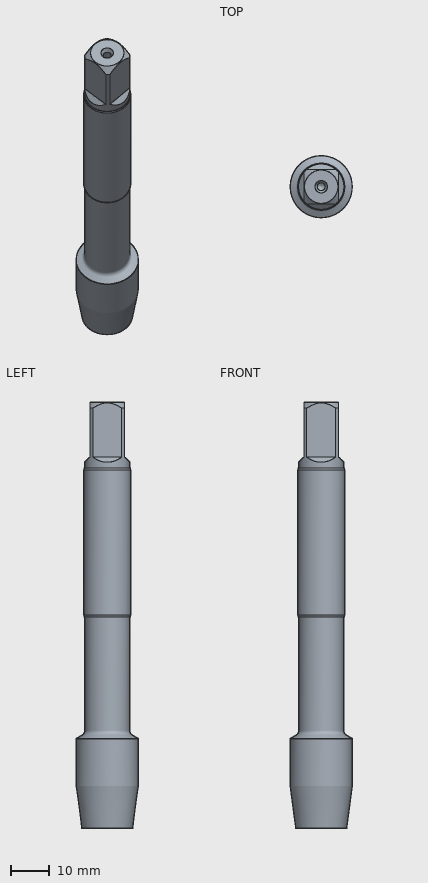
import cadquery as cq
import math

total_length = 110.0

head_diameter = 16.06
tip_diameter = 13.2
lead_length = 10.8
head_length = 23.0

neck_diameter = 11.7
shank_diameter = 12.19
shank_edge_diameter = 11.89
shank_edge_length = 0.45
shank_bottom_z = 54.6
shank_top_z = 92.95

flare_land_height = 0.2
flare_angle = 30.0
flare_blend_radius = 1.25

square_width = 9.0
square_length = 14.15
square_end_diameter = 8.6
square_end_angle = 45.0
square_runout_angle = 45.0

center_hole_diameter = 2.0
center_hole_depth = 4.0
countersink_diameter = 3.2
countersink_angle = 60.0
drill_point_angle = 120.0

head_radius = head_diameter / 2
neck_radius = neck_diameter / 2
shank_radius = shank_diameter / 2
shank_edge_radius = shank_edge_diameter / 2


def make_cutting_head():
    """Plain cylinder with a tapered lead toward the tip."""
    profile = (
        cq.Workplane("XZ")
        .moveTo(0, 0)
        .lineTo(tip_diameter / 2, 0)
        .lineTo(head_radius, lead_length)
        .lineTo(head_radius, head_length)
        .lineTo(0, head_length)
        .close()
    )
    return profile.revolve(360, (0, 0, 0), (0, 1, 0))


def make_shank_blank():
    """Turned shank: flared foot, neck, thicker grip with beveled ends, beveled top end."""
    slope = math.radians(flare_angle)
    blend_end_radius = neck_radius + flare_blend_radius * (1 - math.sin(slope))
    flare_base_z = head_length + flare_land_height
    blend_end_z = flare_base_z + (head_radius - blend_end_radius) * math.tan(slope)
    blend_top_z = blend_end_z + flare_blend_radius * math.cos(slope)
    blend_center_radius = neck_radius + flare_blend_radius
    middle_angle = (math.pi / 2 - slope) / 2
    blend_middle = (
        blend_center_radius - flare_blend_radius * math.cos(middle_angle),
        blend_top_z - flare_blend_radius * math.sin(middle_angle),
    )

    end_radius = square_end_diameter / 2
    end_bevel_length = (neck_radius - end_radius) * math.tan(math.radians(square_end_angle))
    profile = (
        cq.Workplane("XZ")
        .moveTo(0, head_length)
        .lineTo(head_radius, head_length)
        .lineTo(head_radius, flare_base_z)
        .lineTo(blend_end_radius, blend_end_z)
        .threePointArc(blend_middle, (neck_radius, blend_top_z))
        .lineTo(neck_radius, shank_bottom_z)
        .lineTo(shank_edge_radius, shank_bottom_z)
        .lineTo(shank_radius, shank_bottom_z + shank_edge_length)
        .lineTo(shank_radius, shank_top_z - shank_edge_length)
        .lineTo(shank_edge_radius, shank_top_z)
        .lineTo(neck_radius, shank_top_z)
        .lineTo(neck_radius, total_length - end_bevel_length)
        .lineTo(end_radius, total_length)
        .lineTo(0, total_length)
        .close()
    )
    return profile.revolve(360, (0, 0, 0), (0, 1, 0))


def make_flat_cutter():
    """Block that mills one flat of the square, with a sloped runout at its lower end."""
    half_width = square_width / 2
    cutter_reach = shank_diameter
    cutter_depth = cutter_reach - half_width
    runout_drop = cutter_depth * math.tan(math.radians(square_runout_angle))
    square_bottom_z = total_length - square_length
    profile = (
        cq.Workplane("XZ")
        .moveTo(half_width, total_length)
        .lineTo(half_width, square_bottom_z)
        .lineTo(cutter_reach, square_bottom_z - runout_drop)
        .lineTo(cutter_reach, total_length)
        .close()
    )
    return profile.extrude(shank_radius, both=True)


def make_center_hole():
    """Blind center hole with a conical countersink and a drill point."""
    hole_radius = center_hole_diameter / 2
    mouth_radius = countersink_diameter / 2
    countersink_depth = (mouth_radius - hole_radius) / math.tan(math.radians(countersink_angle / 2))
    point_depth = hole_radius / math.tan(math.radians(drill_point_angle / 2))
    profile = (
        cq.Workplane("XZ")
        .moveTo(0, total_length)
        .lineTo(mouth_radius, total_length)
        .lineTo(hole_radius, total_length - countersink_depth)
        .lineTo(hole_radius, total_length - center_hole_depth)
        .lineTo(0, total_length - center_hole_depth - point_depth)
        .close()
    )
    return profile.revolve(360, (0, 0, 0), (0, 1, 0))


def make_shank():
    shank = make_shank_blank().cut(make_center_hole())
    flat_cutter = make_flat_cutter()
    for angle in (0, 90, 180, 270):
        shank = shank.cut(flat_cutter.rotate((0, 0, 0), (0, 0, 1), angle))
    return shank


cutting_head = make_cutting_head()
shank = make_shank()

result = cq.Compound.makeCompound([cutting_head.val(), shank.val()])